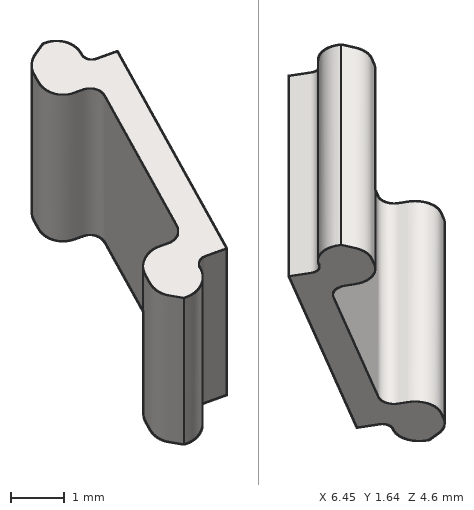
import cadquery as cq
import math

length = 6.45
depth = 1.64
height = 4.6

plate_width = 5.005
plate_thickness = 0.64
opening_width = 3.895
bead_radius = 0.5
neck_radius = 0.2
inner_corner_radius = 0.3
bottom_flat = 0.2
bevel_angle = 54.0

outer_x = length / 2
plate_x = plate_width / 2
opening_x = opening_width / 2
bottom_y = -depth
shoulder_y = -plate_thickness

upper_center_x = outer_x - bead_radius
upper_center_y = shoulder_y - bead_radius
lower_center_y = bottom_y + bead_radius
inner_center_x = opening_x + bead_radius
outer_center_x = inner_center_x + bottom_flat


def arc_point(center_x, center_y, radius, degrees):
    """Point on a circle at the given angle from +X."""
    angle = math.radians(degrees)
    return (center_x + radius * math.cos(angle), center_y + radius * math.sin(angle))


bevel_end = arc_point(outer_center_x, lower_center_y, bead_radius, bevel_angle - 90)
bevel_top_y = bevel_end[1] + (outer_x - bevel_end[0]) * math.tan(math.radians(bevel_angle))


def half_section():
    """Half of the plate with its rounded edge bead, on the +X side."""
    neck_mid = arc_point(plate_x + neck_radius, shoulder_y + neck_radius, neck_radius, 225)
    upper_mid = arc_point(upper_center_x, upper_center_y, bead_radius, 45)
    outer_mid = arc_point(outer_center_x, lower_center_y, bead_radius, bevel_angle / 2 - 90)
    inner_mid = arc_point(inner_center_x, lower_center_y, bead_radius, 225)
    corner_mid = arc_point(
        opening_x - inner_corner_radius, shoulder_y - inner_corner_radius, inner_corner_radius, 45
    )
    return (
        cq.Workplane("XY")
        .moveTo(0, 0)
        .lineTo(plate_x, 0)
        .lineTo(plate_x, shoulder_y + neck_radius)
        .threePointArc(neck_mid, (plate_x + neck_radius, shoulder_y))
        .lineTo(upper_center_x, shoulder_y)
        .threePointArc(upper_mid, (outer_x, upper_center_y))
        .lineTo(outer_x, bevel_top_y)
        .lineTo(*bevel_end)
        .threePointArc(outer_mid, (outer_center_x, bottom_y))
        .lineTo(inner_center_x, bottom_y)
        .threePointArc(inner_mid, (opening_x, lower_center_y))
        .lineTo(opening_x, shoulder_y - inner_corner_radius)
        .threePointArc(corner_mid, (opening_x - inner_corner_radius, shoulder_y))
        .lineTo(0, shoulder_y)
        .close()
    )


right_half = half_section().extrude(height)
left_half = right_half.mirror("YZ")
result = right_half.union(left_half).clean()